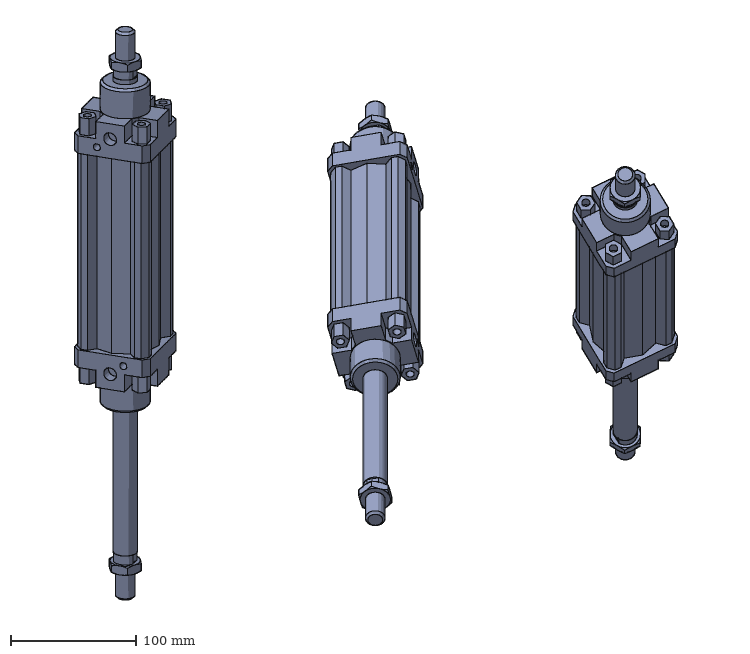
import cadquery as cq
import math


HEX_HALF_ANGLE = math.radians(30)

CAP_SIZE = 65.0
CAP_HEIGHT = 30.0
CAP_CORNER = 5.0
HOUSING_LENGTH = 231.0
CAP_FACE_Z = HOUSING_LENGTH / 2
STEP_DEPTH = 15.0
CROSS_WIDTH = 24.5
CROSS_CORNER = 4.5

COLLAR_DIAMETER = 40.0
COLLAR_LENGTH = 25.0
COLLAR_CHAMFER = 2.0
COLLAR_FACE_Z = CAP_FACE_Z + COLLAR_LENGTH

SCREW_OFFSET = 23.0
SCREW_ACROSS_FLATS = 13.0
SCREW_ACROSS_CORNERS = SCREW_ACROSS_FLATS / math.cos(HEX_HALF_ANGLE)
SCREW_HOLE_DIAMETER = 6.5
SCREW_HOLE_RADIUS = SCREW_HOLE_DIAMETER / 2
SCREW_HOLE_DEPTH = 10.0
DRILL_ANGLE = 118

PORT_RADIUS = 5.5
PORT_DEPTH = 10.0
PORT_BELOW_FACE = 13.5
CUSHION_RADIUS = 3.0
CUSHION_DEPTH = 10.0
CUSHION_BELOW_FACE = 22.0
CUSHION_OFFSET = 11.5

TUBE_SIZE = 61.5
TUBE_CORNER = 5.0
TUBE_LENGTH = HOUSING_LENGTH - 2 * CAP_HEIGHT
GROOVE_OUTER = 20.5
GROOVE_DEPTH = 6.0
GROOVE_INNER = GROOVE_OUTER - GROOVE_DEPTH
RIDGE_BELOW_SIDE = 1.5

ROD_LENGTH = 494
ROD_DIAMETER = 20.0
ROD_RADIUS = ROD_DIAMETER / 2
ROD_TOP_Z = 185.0
ROD_BOTTOM_Z = ROD_TOP_Z - ROD_LENGTH
THREAD_RADIUS = 8.0
THREAD_LENGTH = 32.0
THREAD_CHAMFER = 2.0
NECK_DIAMETER = 19.5
NECK_LENGTH = 8.0
FLATS_WIDTH = 17.0

NUT_ACROSS_FLATS = 24.0
NUT_ACROSS_CORNERS = NUT_ACROSS_FLATS / math.cos(HEX_HALF_ANGLE)
NUT_HEIGHT = 8.0
NUT_CHAMFER_ANGLE = 30

ENDS = (1, -1)


def cylinder(radius, length, z_start=0):
    return cq.Workplane("XY").workplane(offset=z_start).circle(radius).extrude(length)


def at_end(shape, end):
    """Leave a shape at the top end, or mirror it to the bottom end."""
    return shape if end > 0 else shape.mirror("XY")


def tube():
    """Square tube with bevelled corners and a wide ridged groove in each side."""
    half = TUBE_SIZE / 2
    side = [
        (-half + TUBE_CORNER, -half),
        (-GROOVE_OUTER, -half),
        (-GROOVE_INNER, -half + GROOVE_DEPTH),
        (0, -half + RIDGE_BELOW_SIDE),
        (GROOVE_INNER, -half + GROOVE_DEPTH),
        (GROOVE_OUTER, -half),
        (half - TUBE_CORNER, -half),
    ]
    outline = []
    for _ in range(4):
        outline += side
        side = [(-y, x) for x, y in side]
    base = cq.Workplane("XY").workplane(offset=-TUBE_LENGTH / 2)
    return base.polyline(outline).close().extrude(TUBE_LENGTH)


def drilled_hole():
    """Cutter for a screw-head hole with a conical floor, its mouth at Z = 0."""
    tip_depth = SCREW_HOLE_RADIUS / math.tan(math.radians(DRILL_ANGLE / 2))
    return (
        cq.Workplane("XZ")
        .moveTo(0, 0)
        .lineTo(SCREW_HOLE_RADIUS, 0)
        .lineTo(SCREW_HOLE_RADIUS, -SCREW_HOLE_DEPTH)
        .lineTo(0, -SCREW_HOLE_DEPTH - tip_depth)
        .close()
        .revolve(360, (0, 0, 0), (0, 1, 0))
    )


def corner_screw(x_side, y_side):
    """Hexagonal screw head, with a drilled hole, in one corner recess of the top cap."""
    turn = 0 if x_side == y_side else 90
    head = (
        cq.Workplane("XY")
        .polygon(6, SCREW_ACROSS_CORNERS)
        .extrude(STEP_DEPTH)
        .cut(drilled_hole().translate((0, 0, STEP_DEPTH)))
    )
    place = (x_side * SCREW_OFFSET, y_side * SCREW_OFFSET, CAP_FACE_Z - STEP_DEPTH)
    return head.rotate((0, 0, 0), (0, 0, 1), turn).translate(place)


def front_hole(x, z, radius, depth):
    """Cutter for a blind hole from the -Y side of a cap."""
    return cq.Workplane("XZ", origin=(x, -CAP_SIZE / 2, z)).circle(radius).extrude(-depth)


def corner_recess():
    """Cutter for the +X +Y corner recess; a bevel fills its inner corner, around the collar."""
    arm = CROSS_WIDTH / 2
    half = CAP_SIZE / 2
    bevel_end = arm + CROSS_CORNER
    outline = [(bevel_end, arm), (half, arm), (half, half), (arm, half), (arm, bevel_end)]
    base = cq.Workplane("XY").workplane(offset=CAP_FACE_Z - STEP_DEPTH)
    return base.polyline(outline).close().extrude(STEP_DEPTH)


def end_cap():
    """Top cap: a block stepped down to a cross, its collar and the corner screws."""
    cap = (
        cq.Workplane("XY")
        .workplane(offset=CAP_FACE_Z - CAP_HEIGHT)
        .rect(CAP_SIZE, CAP_SIZE)
        .extrude(CAP_HEIGHT)
        .edges("|Z")
        .chamfer(CAP_CORNER)
    )
    collar = (
        cylinder(COLLAR_DIAMETER / 2, STEP_DEPTH + COLLAR_LENGTH, CAP_FACE_Z - STEP_DEPTH)
        .faces(">Z")
        .chamfer(COLLAR_CHAMFER)
    )
    for turn in (0, 90, 180, 270):
        cap = cap.cut(corner_recess().rotate((0, 0, 0), (0, 0, 1), turn))
    cap = cap.union(collar)
    for x_side in (-1, 1):
        for y_side in (-1, 1):
            cap = cap.union(corner_screw(x_side, y_side))
    return cap


def make_housing():
    body = tube()
    for end in ENDS:
        body = body.union(at_end(end_cap(), end))
    for end in ENDS:
        port_z = end * (CAP_FACE_Z - PORT_BELOW_FACE)
        cushion_z = end * (CAP_FACE_Z - CUSHION_BELOW_FACE)
        body = body.cut(front_hole(0, port_z, PORT_RADIUS, PORT_DEPTH))
        body = body.cut(front_hole(-end * CUSHION_OFFSET, cushion_z, CUSHION_RADIUS, CUSHION_DEPTH))
    return body.cut(cylinder(ROD_RADIUS, 2 * COLLAR_FACE_Z, -COLLAR_FACE_Z))


def make_rod():
    """Round rod with wrench flats and a reduced threaded length at both ends."""
    neck_bottom = ROD_BOTTOM_Z + THREAD_LENGTH
    neck_top = ROD_TOP_Z - THREAD_LENGTH
    necks_length = neck_top - neck_bottom
    base = cq.Workplane("XY").workplane(offset=neck_bottom)
    flats = base.rect(FLATS_WIDTH, NECK_DIAMETER).extrude(necks_length)
    necks = cylinder(NECK_DIAMETER / 2, necks_length, neck_bottom).intersect(flats)
    shank = cylinder(ROD_RADIUS, necks_length - 2 * NECK_LENGTH, neck_bottom + NECK_LENGTH)
    threads = cylinder(THREAD_RADIUS, ROD_LENGTH, ROD_BOTTOM_Z).faces("<Z or >Z").chamfer(THREAD_CHAMFER)
    return shank.union(necks).union(threads)


def make_nut(z_bottom):
    """Hexagonal nut, bevelled at both faces, with two corners pointing along X."""
    corner_radius = NUT_ACROSS_CORNERS / 2
    face_radius = NUT_ACROSS_FLATS / 2
    bevel = (corner_radius - face_radius) * math.tan(math.radians(NUT_CHAMFER_ANGLE))
    envelope = (
        cq.Workplane("XZ")
        .moveTo(0, 0)
        .lineTo(face_radius, 0)
        .lineTo(corner_radius, bevel)
        .lineTo(corner_radius, NUT_HEIGHT - bevel)
        .lineTo(face_radius, NUT_HEIGHT)
        .lineTo(0, NUT_HEIGHT)
        .close()
        .revolve(360, (0, 0, 0), (0, 1, 0))
    )
    nut = cq.Workplane("XY").polygon(6, NUT_ACROSS_CORNERS).extrude(NUT_HEIGHT).intersect(envelope)
    return nut.cut(cylinder(THREAD_RADIUS, NUT_HEIGHT)).translate((0, 0, z_bottom))


housing = make_housing()
rod = make_rod()
nut_bottoms = (ROD_TOP_Z - THREAD_LENGTH, ROD_BOTTOM_Z + THREAD_LENGTH - NUT_HEIGHT)
nuts = [make_nut(z) for z in nut_bottoms]

result = cq.Compound.makeCompound([housing.val(), rod.val(), *[nut.val() for nut in nuts]])